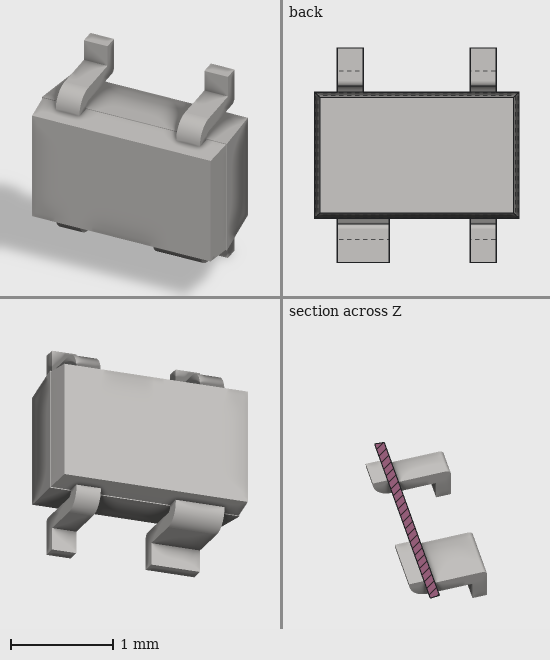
import cadquery as cq
import math

depth = 0.94
height = 2.1
front_y = -depth / 2
sole_y = depth / 2

housing_width = 2.0
housing_height = 1.235
seam_step = 0.008
front_half_depth = 0.298
foot_standoff = 0.05
draft_angle = 5.0
seam_y = front_y + front_half_depth
rear_half_depth = sole_y - foot_standoff - seam_y

lead_thickness = 0.15
lead_width = 0.256
lead_offset = 0.65
wide_lead_width = 2 * lead_width
foot_length = 0.227
bend_radius = 0.05
outer_bend_radius = bend_radius + lead_thickness
lead_tip_z = height / 2
lead_root_z = housing_height / 2 - seam_step
leg_outer_z = lead_tip_z - foot_length
leg_inner_z = leg_outer_z - lead_thickness
bend_centre_y = seam_y + bend_radius
bend_centre_z = leg_inner_z - bend_radius


def drafted_half(inset, length):
    """Half housing that tapers from the seam towards +Y for a positive length, else towards -Y."""
    shrink = abs(length) * math.tan(math.radians(draft_angle))
    width = housing_width - 2 * inset
    tall = housing_height - 2 * inset
    return (
        cq.Workplane("XZ", origin=(0, seam_y, 0))
        .rect(width, tall)
        .workplane(offset=-length)
        .rect(width - 2 * shrink, tall - 2 * shrink)
        .loft(ruled=True)
    )


def make_lead(left_x, width):
    """Bent lead on the top side, spanning width in X from left_x."""
    diagonal = math.sqrt(0.5)
    inner_mid = (bend_centre_y - bend_radius * diagonal, bend_centre_z + bend_radius * diagonal)
    outer_mid = (
        bend_centre_y - outer_bend_radius * diagonal,
        bend_centre_z + outer_bend_radius * diagonal,
    )
    heel_mid = (
        sole_y - bend_radius * (1 - diagonal),
        leg_inner_z + bend_radius * (1 - diagonal),
    )
    return (
        cq.Workplane("YZ", origin=(left_x, 0, 0))
        .moveTo(seam_y, lead_root_z)
        .lineTo(seam_y, bend_centre_z)
        .threePointArc(inner_mid, (bend_centre_y, leg_inner_z))
        .lineTo(sole_y - bend_radius, leg_inner_z)
        .threePointArc(heel_mid, (sole_y, leg_inner_z + bend_radius))
        .lineTo(sole_y, lead_tip_z)
        .lineTo(sole_y - lead_thickness, lead_tip_z)
        .lineTo(sole_y - lead_thickness, leg_outer_z)
        .lineTo(bend_centre_y, leg_outer_z)
        .threePointArc(outer_mid, (seam_y - lead_thickness, bend_centre_z))
        .lineTo(seam_y - lead_thickness, lead_root_z)
        .close()
        .extrude(width)
    )


def make_housing():
    """Both halves with the wide bottom lead, which joins the seam step as one piece."""
    rear_half = drafted_half(0, rear_half_depth)
    front_half = drafted_half(seam_step, -front_half_depth)
    wide_left_x = lead_offset + lead_width / 2 - wide_lead_width
    wide_lead = make_lead(wide_left_x, wide_lead_width).mirror("XY")
    return rear_half.union(front_half).union(wide_lead)


def make_narrow_leads():
    """Two leads on the top side and one on the bottom side, each a separate solid."""
    leads = []
    for centre_x, on_bottom in [(-lead_offset, False), (lead_offset, False), (-lead_offset, True)]:
        lead = make_lead(centre_x - lead_width / 2, lead_width)
        if on_bottom:
            lead = lead.mirror("XY")
        leads.append(lead.val())
    return leads


housing = make_housing()
narrow_leads = make_narrow_leads()

result = cq.Compound.makeCompound([housing.solids().val(), *narrow_leads])